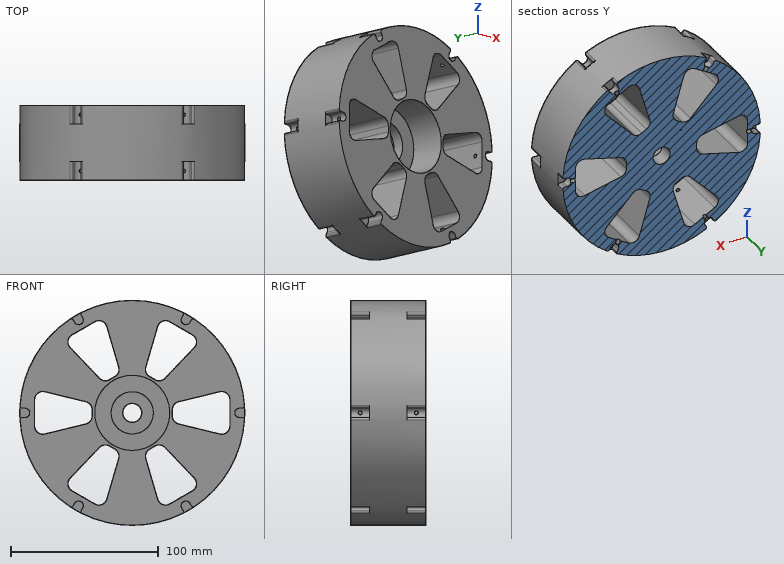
import math

import cadquery as cq

WHEEL_RADIUS = 76.2
WHEEL_WIDTH = 50.8
SPOKE_COUNT = 6

RECESS_DIAMETER = 50.8
RECESS_DEPTH = 25.4
BEARING_DIAMETER = 28.575
BEARING_DEPTH = 7.94
SHAFT_DIAMETER = 12.7

WINDOW_INNER_RADIUS = 27.2
WINDOW_OUTER_RADIUS = 66.04
WINDOW_INNER_HALF_HEIGHT = 6.45
WINDOW_OUTER_HALF_HEIGHT = 15.9
WINDOW_CORNER_RADIUS = 5.5

NOTCH_HALF_WIDTH = 3.175
NOTCH_LENGTH = 12.7
NOTCH_FLOOR_RADIUS = 69.4
LIP_RADIUS = 1.5875
SCREW_HOLE_DIAMETER = 2.6

FRONT_FACE = -WHEEL_WIDTH / 2
BACK_FACE = WHEEL_WIDTH / 2


def cylinder_along_y(diameter, start, length):
    """Cylinder on the wheel axis running from y = start toward +Y."""
    base = cq.Workplane("XZ", origin=(0, start, 0))
    return base.circle(diameter / 2).extrude(-length)


def around_wheel(tool, index):
    """Turn a tool modelled on the +X radius to its place around the wheel axis."""
    return tool.rotate((0, 0, 0), (0, 1, 0), index * 360 / SPOKE_COUNT)


def hub_bore():
    recess = cylinder_along_y(RECESS_DIAMETER, FRONT_FACE, RECESS_DEPTH)
    bearing_seat = cylinder_along_y(BEARING_DIAMETER, FRONT_FACE + RECESS_DEPTH, BEARING_DEPTH)
    shaft_hole = cylinder_along_y(SHAFT_DIAMETER, FRONT_FACE, WHEEL_WIDTH)
    return recess.union(bearing_seat).union(shaft_hole)


def window():
    outline = [
        (WINDOW_INNER_RADIUS, -WINDOW_INNER_HALF_HEIGHT),
        (WINDOW_OUTER_RADIUS, -WINDOW_OUTER_HALF_HEIGHT),
        (WINDOW_OUTER_RADIUS, WINDOW_OUTER_HALF_HEIGHT),
        (WINDOW_INNER_RADIUS, WINDOW_INNER_HALF_HEIGHT),
    ]
    base = cq.Workplane("XZ", origin=(0, FRONT_FACE, 0))
    prism = base.polyline(outline).close().extrude(-WHEEL_WIDTH)
    return prism.edges("|Y").fillet(WINDOW_CORNER_RADIUS)


def notch(start):
    """Round-bottomed notch from y = start, with lips blending tangentially into the rim."""
    floor_center = NOTCH_FLOOR_RADIUS + NOTCH_HALF_WIDTH
    lip_center_height = NOTCH_HALF_WIDTH + LIP_RADIUS
    lip_center_distance = WHEEL_RADIUS - LIP_RADIUS
    lip_angle = math.asin(lip_center_height / lip_center_distance)
    lip_center = lip_center_distance * math.cos(lip_angle)
    rim_x = WHEEL_RADIUS * math.cos(lip_angle)
    rim_z = WHEEL_RADIUS * math.sin(lip_angle)
    middle_angle = (lip_angle - math.pi / 2) / 2
    lip_middle_x = lip_center + LIP_RADIUS * math.cos(middle_angle)
    lip_middle_z = lip_center_height + LIP_RADIUS * math.sin(middle_angle)
    return (
        cq.Workplane("XZ", origin=(0, start, 0))
        .moveTo(lip_center, -NOTCH_HALF_WIDTH)
        .lineTo(floor_center, -NOTCH_HALF_WIDTH)
        .threePointArc((NOTCH_FLOOR_RADIUS, 0), (floor_center, NOTCH_HALF_WIDTH))
        .lineTo(lip_center, NOTCH_HALF_WIDTH)
        .threePointArc((lip_middle_x, lip_middle_z), (rim_x, rim_z))
        .threePointArc((WHEEL_RADIUS, 0), (rim_x, -rim_z))
        .threePointArc((lip_middle_x, -lip_middle_z), (lip_center, -NOTCH_HALF_WIDTH))
        .close()
        .extrude(-NOTCH_LENGTH)
    )


def screw_hole(y):
    """Radial hole from the window through the notch floor."""
    middle_radius = (WINDOW_INNER_RADIUS + WINDOW_OUTER_RADIUS) / 2
    base = cq.Workplane("YZ", origin=(middle_radius, y, 0))
    return base.circle(SCREW_HOLE_DIAMETER / 2).extrude(WHEEL_RADIUS - middle_radius)


result = cylinder_along_y(2 * WHEEL_RADIUS, FRONT_FACE, WHEEL_WIDTH).cut(hub_bore())
for spoke in range(SPOKE_COUNT):
    result = result.cut(around_wheel(window(), spoke))
    for notch_start in (FRONT_FACE, BACK_FACE - NOTCH_LENGTH):
        result = result.cut(around_wheel(notch(notch_start), spoke))
        result = result.cut(around_wheel(screw_hole(notch_start + NOTCH_LENGTH / 2), spoke))